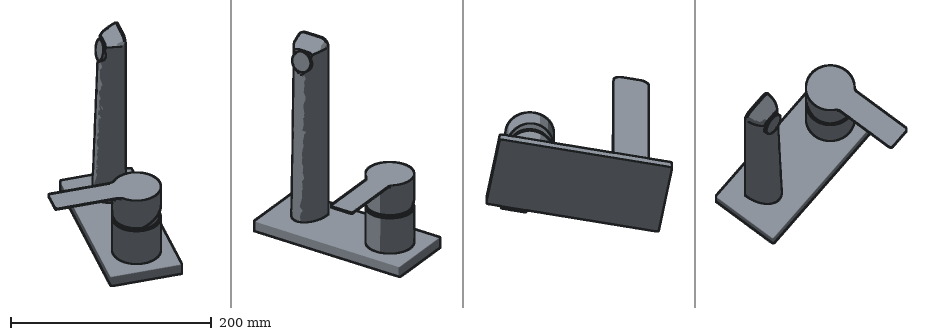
import cadquery as cq

PLATE_LENGTH = 175.0
PLATE_WIDTH = 74.8
PLATE_HEIGHT = 11.5
PLATE_CORNER_RADIUS = 2.1
PLATE_TOP_FILLET = 1.3

TOTAL_HEIGHT = 210.8
SPOUT_X = -50.0
SPOUT_WIDTH = 35.8
SPOUT_BACK_Y = 14.8
SPOUT_RIM = 1.5
SPOUT_RIM_Y = SPOUT_BACK_Y - SPOUT_RIM
SPOUT_BASE_FRONT_Y = -15.2
SPOUT_TOP_FRONT_Y = -7.5

HEAD_SECTIONS = (
    (SPOUT_RIM_Y, TOTAL_HEIGHT, 8.9),
    (5.0, 207.5, 11.0),
    (-3.8, 200.5, 13.0),
    (-10.5, 190.8, 14.8),
)
HEAD_BOTTOM_Z = 168.6

OUTLET_DIAMETER = 21.7
OUTLET_DEPTH = 6.3
OUTLET_STANDOFF = 1.7
OUTLET_TILT = 12.0
OUTLET_FACE_Y = -7.5
OUTLET_FACE_Z = 189.7

MIXER_X = 50.4
MIXER_Y = 0.6
MIXER_RADIUS = 24.5
BODY_TOP_Z = 52.7
BODY_CHAMFER = 1.0
BALL_RADIUS = 22.8
BALL_CENTRE_Z = 51.6
CAP_BOTTOM_Z = 55.5
CAP_TOP_Z = 89.2
CAP_BACK_BOTTOM_Z = 66.5

OVERALL_WIDTH = 125.5
LEVER_REACH = OVERALL_WIDTH - PLATE_WIDTH / 2 + MIXER_Y
LEVER_WIDTH = 27.0
LEVER_THICKNESS = 6.5
LEVER_RIM = 0.8
LEVER_BOTTOM_Z = CAP_TOP_Z - LEVER_THICKNESS
LEVER_RIM_Z = CAP_TOP_Z - LEVER_RIM
LEVER_TIP_LENGTH = 13.3
LEVER_TIP_CORNER_RADIUS = 3.4
LEVER_BLEND_RADIUS = 6.3
TIP_CURVE_BACK = 5.3
TIP_CURVE_RISE = 1.7
JUNCTION_SLACK = 1.0


def make_plate():
    plate = cq.Workplane("XY").box(PLATE_LENGTH, PLATE_WIDTH, PLATE_HEIGHT, centered=(True, True, False))
    plate = plate.edges("|Z").fillet(PLATE_CORNER_RADIUS)
    return plate.faces(">Z").edges().fillet(PLATE_TOP_FILLET)


def column_section(z, front_y):
    """Closed wire at height z: flat back, short rim sides and a half-ellipse front."""
    half_width = SPOUT_WIDTH / 2
    depth = SPOUT_RIM_Y - front_y
    rim_left = cq.Vector(SPOUT_X - half_width, SPOUT_RIM_Y, z)
    rim_right = cq.Vector(SPOUT_X + half_width, SPOUT_RIM_Y, z)
    back_left = cq.Vector(SPOUT_X - half_width, SPOUT_BACK_Y, z)
    back_right = cq.Vector(SPOUT_X + half_width, SPOUT_BACK_Y, z)
    front = cq.Edge.makeEllipse(
        depth,
        half_width,
        cq.Vector(SPOUT_X, SPOUT_RIM_Y, z),
        cq.Vector(0, 0, 1),
        cq.Vector(0, -1, 0),
        270,
        90,
    )
    right_side = cq.Edge.makeLine(rim_right, back_right)
    back = cq.Edge.makeLine(back_right, back_left)
    left_side = cq.Edge.makeLine(back_left, rim_left)
    return cq.Wire.assembleEdges([front, right_side, back, left_side])


def head_section(y, top_z, corner_radius):
    """Closed upright wire at depth y with two rounded top corners."""
    half_width = SPOUT_WIDTH / 2
    outline = (
        cq.Workplane("XZ", origin=(SPOUT_X, y, 0))
        .moveTo(-half_width, 0)
        .lineTo(-half_width, top_z - corner_radius)
        .radiusArc((-half_width + corner_radius, top_z), corner_radius)
        .lineTo(half_width - corner_radius, top_z)
        .radiusArc((half_width, top_z - corner_radius), corner_radius)
        .lineTo(half_width, 0)
        .close()
    )
    return outline.val()


def place_on_outlet(shape, offset):
    """Tilt a shape made on the XZ plane onto the outlet face, moved outwards by offset."""
    shape = shape.translate((0, -offset, 0)).rotate((0, 0, 0), (1, 0, 0), -OUTLET_TILT)
    return shape.translate((SPOUT_X, OUTLET_FACE_Y, OUTLET_FACE_Z))


def make_spout():
    base = column_section(0, SPOUT_BASE_FRONT_Y)
    top = column_section(TOTAL_HEIGHT, SPOUT_TOP_FRONT_Y)
    column = cq.Workplane(cq.Solid.makeLoft([base, top], True))

    head_wires = [head_section(*section) for section in HEAD_SECTIONS]
    dome = cq.Workplane(cq.Solid.makeLoft(head_wires))
    rim = cq.Workplane(cq.Solid.extrudeLinear(head_wires[0], [], cq.Vector(0, SPOUT_RIM, 0)))
    lower = (
        cq.Workplane("XY", origin=(SPOUT_X, 0, 0))
        .rect(2 * SPOUT_WIDTH, 2 * SPOUT_WIDTH)
        .extrude(HEAD_BOTTOM_Z)
    )
    spout = column.intersect(dome.union(rim).union(lower))

    seat_cutter = cq.Workplane("XZ").rect(2 * SPOUT_WIDTH, 2 * SPOUT_WIDTH).extrude(SPOUT_WIDTH)
    return spout.cut(place_on_outlet(seat_cutter, -OUTLET_STANDOFF))


def make_outlet():
    disc = cq.Workplane("XZ").circle(OUTLET_DIAMETER / 2).extrude(-OUTLET_DEPTH)
    return place_on_outlet(disc, 0)


def make_body():
    """Lower cylinder and ball, on the Z axis."""
    body = cq.Workplane("XY").circle(MIXER_RADIUS).extrude(BODY_TOP_Z)
    body = body.faces(">Z").chamfer(BODY_CHAMFER)
    ball = cq.Workplane("XY", origin=(0, 0, BALL_CENTRE_Z)).sphere(BALL_RADIUS)
    return body.union(ball)


def make_lever():
    """Lever reaching from the Z axis towards -Y."""
    half_width = LEVER_WIDTH / 2
    bar = (
        cq.Workplane("XZ")
        .moveTo(-half_width, CAP_TOP_Z)
        .lineTo(-half_width, LEVER_RIM_Z)
        .threePointArc((0, LEVER_BOTTOM_Z), (half_width, LEVER_RIM_Z))
        .lineTo(half_width, CAP_TOP_Z)
        .close()
        .extrude(LEVER_REACH)
    )
    tip_profile = (
        cq.Workplane("YZ")
        .moveTo(0, CAP_TOP_Z)
        .lineTo(-LEVER_REACH, CAP_TOP_Z)
        .lineTo(-LEVER_REACH, LEVER_RIM_Z)
        .threePointArc(
            (-LEVER_REACH + TIP_CURVE_BACK, LEVER_BOTTOM_Z + TIP_CURVE_RISE),
            (-LEVER_REACH + LEVER_TIP_LENGTH, LEVER_BOTTOM_Z),
        )
        .lineTo(-LEVER_REACH + LEVER_TIP_LENGTH, 0)
        .lineTo(0, 0)
        .close()
        .extrude(LEVER_WIDTH, both=True)
    )
    plan = (
        cq.Workplane("XY")
        .rect(LEVER_WIDTH, 2 * LEVER_REACH)
        .extrude(CAP_TOP_Z)
        .edges("|Z")
        .fillet(LEVER_TIP_CORNER_RADIUS)
    )
    return bar.intersect(tip_profile).intersect(plan)


def make_cap():
    """Turning cap with its lever, on the Z axis."""
    cap_height = CAP_TOP_Z - CAP_BOTTOM_Z
    cap = cq.Workplane("XY", origin=(0, 0, CAP_BOTTOM_Z)).circle(MIXER_RADIUS).extrude(cap_height)
    relief = (
        cq.Workplane("YZ")
        .moveTo(0, CAP_BOTTOM_Z)
        .lineTo(MIXER_RADIUS, CAP_BACK_BOTTOM_Z)
        .lineTo(MIXER_RADIUS, CAP_BOTTOM_Z)
        .close()
        .extrude(MIXER_RADIUS, both=True)
    )
    cap = cap.cut(relief).union(make_lever())
    junction = cq.selectors.BoxSelector(
        (-LEVER_WIDTH, -MIXER_RADIUS - JUNCTION_SLACK, LEVER_BOTTOM_Z - JUNCTION_SLACK),
        (LEVER_WIDTH, -MIXER_RADIUS / 2, CAP_TOP_Z - LEVER_RIM / 4),
    )
    return cap.edges(junction).fillet(LEVER_BLEND_RADIUS)


mixer = make_body().union(make_cap()).translate((MIXER_X, MIXER_Y, 0))
result = make_plate().union(make_spout()).union(make_outlet()).union(mixer)